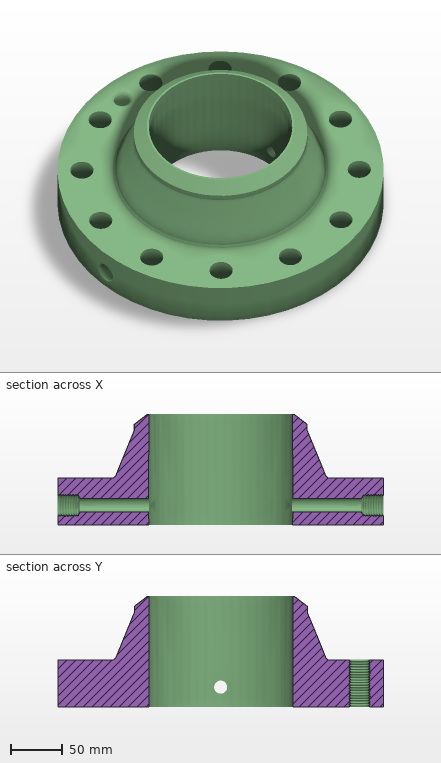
import cadquery as cq
import math

FLANGE_RADIUS = 158.8
FLANGE_THICKNESS = 46.0
TOTAL_HEIGHT = 108.0

BORE_RADIUS = 70.0
WELD_LAND = 2.0
BEVEL_ANGLE = 37.5
NECK_RADIUS = 84.5
NECK_BAND_HEIGHT = 6.0
HUB_BASE_RADIUS = 102.5
HUB_FLARE_RADIUS = 104.8
HUB_FLARE_HEIGHT = 2.0

BOLT_COUNT = 12
BOLT_CIRCLE_RADIUS = 135.0
BOLT_HOLE_DIAMETER = 22.5

JACK_MAJOR_RADIUS = 10.2
JACK_MINOR_RADIUS = 8.3
JACK_PITCH = 2.5

TAP_HEIGHT = 19.5
TAP_MAJOR_RADIUS = 10.5
TAP_MINOR_RADIUS = 9.0
TAP_PITCH = 2.5
TAP_THREAD_COUNT = 8
TAP_BORE_RADIUS = 6.5
TAP_DRILL_POINT_ANGLE = 118.0

CLEARANCE = 3.2


def make_flange_body():
    """Revolve the half section of disc, hub, neck band and weld bevel."""
    land_radius = BORE_RADIUS + WELD_LAND
    bevel_height = (NECK_RADIUS - land_radius) * math.tan(math.radians(BEVEL_ANGLE))
    band_top = TOTAL_HEIGHT - bevel_height
    band_bottom = band_top - NECK_BAND_HEIGHT
    return (
        cq.Workplane("XZ")
        .moveTo(BORE_RADIUS, 0)
        .lineTo(FLANGE_RADIUS, 0)
        .lineTo(FLANGE_RADIUS, FLANGE_THICKNESS)
        .lineTo(HUB_FLARE_RADIUS, FLANGE_THICKNESS)
        .lineTo(HUB_BASE_RADIUS, FLANGE_THICKNESS + HUB_FLARE_HEIGHT)
        .lineTo(NECK_RADIUS, band_bottom)
        .lineTo(NECK_RADIUS, band_top)
        .lineTo(land_radius, TOTAL_HEIGHT)
        .lineTo(BORE_RADIUS, TOTAL_HEIGHT)
        .close()
        .revolve(360, (0, 0, 0), (0, 1, 0))
    )


def make_thread_cutter(major_radius, minor_radius, pitch, groove_count):
    """Thread as a stack of V-shaped ring grooves along +Z, starting at the origin."""
    profile = cq.Workplane("XZ").lineTo(major_radius, 0)
    for groove in range(groove_count):
        profile = profile.lineTo(minor_radius, (groove + 0.5) * pitch)
        profile = profile.lineTo(major_radius, (groove + 1) * pitch)
    profile = profile.lineTo(0, groove_count * pitch).close()
    return profile.revolve(360, (0, 0, 0), (0, 1, 0))


def make_bolt_holes():
    return (
        cq.Workplane("XY")
        .polarArray(BOLT_CIRCLE_RADIUS, 180 / BOLT_COUNT, 360, BOLT_COUNT)
        .circle(BOLT_HOLE_DIAMETER / 2)
        .extrude(FLANGE_THICKNESS)
    )


def make_jack_hole():
    """Through hole on the -X side of the bolt circle, threaded over its full depth."""
    groove_count = math.ceil(FLANGE_THICKNESS / JACK_PITCH)
    cutter = make_thread_cutter(JACK_MAJOR_RADIUS, JACK_MINOR_RADIUS, JACK_PITCH, groove_count)
    overshoot = groove_count * JACK_PITCH - FLANGE_THICKNESS
    return cutter.translate((-BOLT_CIRCLE_RADIUS, 0, -overshoot))


def make_pressure_tap():
    """Hole entering the rim at -Y: thread, drill-point cone, then a bore into the main bore."""
    thread_length = TAP_THREAD_COUNT * TAP_PITCH
    thread = make_thread_cutter(TAP_MAJOR_RADIUS, TAP_MINOR_RADIUS, TAP_PITCH, TAP_THREAD_COUNT)
    cone_length = TAP_MINOR_RADIUS / math.tan(math.radians(TAP_DRILL_POINT_ANGLE / 2))
    drill_point = (
        cq.Workplane("XZ")
        .moveTo(0, thread_length)
        .lineTo(TAP_MINOR_RADIUS, thread_length)
        .lineTo(0, thread_length + cone_length)
        .close()
        .revolve(360, (0, 0, 0), (0, 1, 0))
    )
    bore_length = FLANGE_RADIUS - BORE_RADIUS + CLEARANCE
    bore = cq.Workplane("XY").circle(TAP_BORE_RADIUS).extrude(bore_length)
    return (
        thread.union(drill_point)
        .union(bore)
        .rotate((0, 0, 0), (1, 0, 0), -90)
        .translate((0, -FLANGE_RADIUS, TAP_HEIGHT))
    )


pressure_tap = make_pressure_tap()
result = (
    make_flange_body()
    .cut(make_bolt_holes())
    .cut(make_jack_hole())
    .cut(pressure_tap)
    .cut(pressure_tap.mirror("XZ"))
)